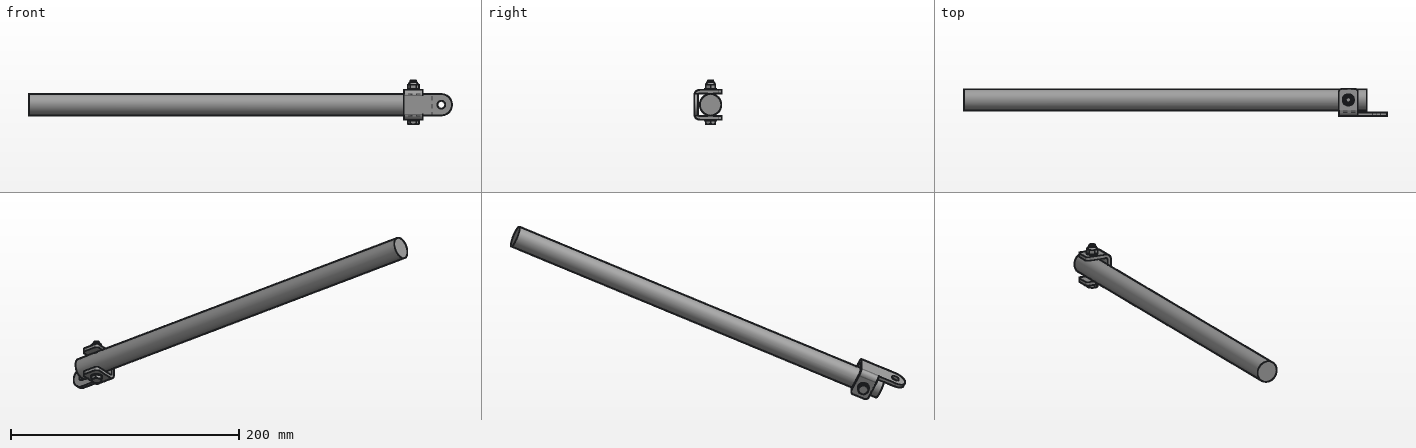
import cadquery as cq

total_length = 370.5

rod_diameter = 19.0
rod_end_gap = 17.8
rod_length = total_length - rod_end_gap

sheet = 3.5
bracket_length = 16.5
bracket_start = 328.5
bend_outer_radius = 5.0
bend_inner_radius = bend_outer_radius - sheet
leg_corner_radius = 3.0
bracket_depth = 24.0
leg_gap = 19.5
bracket_height = leg_gap + 2 * sheet
bracket_back = leg_gap / 2
bracket_front = bracket_back - bracket_depth
bracket_end = bracket_start + bracket_length
bracket_mid = bracket_start + bracket_length / 2

tongue_radius = rod_diameter / 2
pivot_x = total_length - tongue_radius
pivot_diameter = 6.5

bolt_diameter = 5.2
bolt_top_height = 8.0
head_height = 4.0
head_chamfer = 0.7
hex_corner_diameter = 10.0
washer_diameter = 10.0
washer_thickness = 0.7
nut_height = 4.5
collar_height = 2.2
collar_base_diameter = 8.5
collar_top_diameter = 6.0
bolt_tip_chamfer = 0.5


def cylinder_z(diameter, bottom, height):
    """Upright cylinder on the bolt axis."""
    return cq.Workplane("XY", origin=(bracket_mid, 0, bottom)).circle(diameter / 2).extrude(height)


def hexagon_z(bottom, height):
    """Upright hexagonal prism on the bolt axis, with two corners along X."""
    return cq.Workplane("XY", origin=(bracket_mid, 0, bottom)).polygon(6, hex_corner_diameter).extrude(height)


def make_rod():
    return cq.Workplane("YZ").circle(rod_diameter / 2).extrude(rod_length)


def make_bracket():
    middle_y = (bracket_front + bracket_back) / 2
    outer = (
        cq.Workplane("XY")
        .box(bracket_length, bracket_depth, bracket_height)
        .translate((bracket_mid, middle_y, 0))
        .edges("|X and <Y")
        .fillet(bend_outer_radius)
        .edges("|Z and >Y")
        .fillet(leg_corner_radius)
    )
    inner = (
        cq.Workplane("XY")
        .box(bracket_length, bracket_depth, leg_gap)
        .translate((bracket_mid, middle_y + sheet, 0))
        .edges("|X and <Y")
        .fillet(bend_inner_radius)
    )
    return outer.cut(inner)


def make_tongue():
    outline = (
        cq.Workplane("XZ", origin=(0, bracket_front + sheet, 0))
        .moveTo(bracket_end, -tongue_radius)
        .lineTo(pivot_x, -tongue_radius)
        .threePointArc((total_length, 0), (pivot_x, tongue_radius))
        .lineTo(bracket_end, tongue_radius)
        .close()
    )
    hole = (
        cq.Workplane("XZ", origin=(pivot_x, bracket_front + sheet, 0))
        .circle(pivot_diameter / 2)
        .extrude(sheet)
    )
    return outline.extrude(sheet).cut(hole)


def make_bolt():
    leg_top = bracket_height / 2
    leg_bottom = -leg_top
    shank = cylinder_z(bolt_diameter, leg_bottom, bracket_height + bolt_top_height)
    shank = shank.faces(">Z").chamfer(bolt_tip_chamfer)
    head = hexagon_z(leg_bottom - head_height, head_height)
    head_envelope = cylinder_z(hex_corner_diameter, leg_bottom - head_height, head_height)
    head = head.intersect(head_envelope.faces("<Z").chamfer(head_chamfer))
    lower_washer = cylinder_z(washer_diameter, leg_bottom - washer_thickness, washer_thickness)
    nut = hexagon_z(leg_top, nut_height)
    upper_washer = cylinder_z(washer_diameter, leg_top, washer_thickness)
    collar = (
        cq.Workplane("XY", origin=(bracket_mid, 0, leg_top + nut_height))
        .circle(collar_base_diameter / 2)
        .workplane(offset=collar_height)
        .circle(collar_top_diameter / 2)
        .loft()
    )
    return shank.union(head).union(lower_washer).union(nut).union(upper_washer).union(collar)


result = make_rod().union(make_bracket()).union(make_tongue()).union(make_bolt())